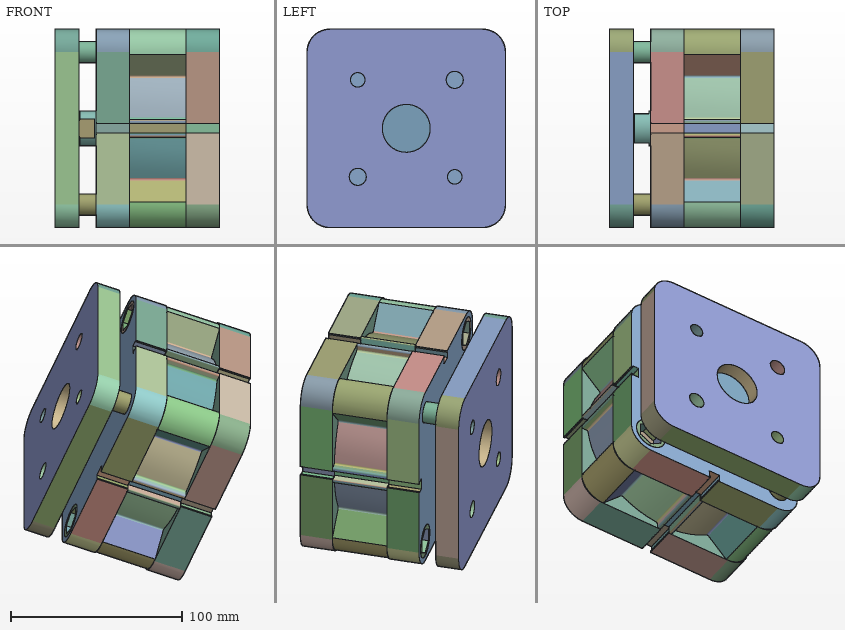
import cadquery as cq
import math

SIDE = 116.0
HALF_SIDE = SIDE / 2
PLATE_THICKNESS = 14.0
GAP = 10.0
CAP_THICKNESS = 19.5
STATOR_LENGTH = 33.1

PLATE_BACK_X = PLATE_THICKNESS
FRONT_CAP_X = PLATE_BACK_X + GAP
STATOR_X = FRONT_CAP_X + CAP_THICKNESS
REAR_CAP_X = STATOR_X + STATOR_LENGTH

CORNER_RADIUS = 13.5
CORNER_CENTER = HALF_SIDE - CORNER_RADIUS

CENTER_BORE_DIAMETER = 28.0
CENTER_BORE_DEPTH = 8.7
HOLE_OFFSET = 28.3
SMALL_HOLE_DIAMETER = 8.5
LARGE_HOLE_DIAMETER = 10.0
STANDOFF_DIAMETER = 12.5

GROOVE_WIDTH = 5.7
GROOVE_DEPTH = 5.0
CAP_GROOVE_INNER_WIDTH = 7.1
CAP_GROOVE_LIP = 1.0

SCREW_HEAD_DIAMETER = 20.0
SCREW_HEAD_RECESS = 0.1
SOCKET_ACROSS_FLATS = 14.0
SOCKET_CIRCUMRADIUS = SOCKET_ACROSS_FLATS / math.sqrt(3)
SOCKET_DEPTH = 8.0

STATOR_CORE_RADIUS = 54.0
LUG_RADIUS = 15.0
LUG_CENTER = HALF_SIDE - LUG_RADIUS
LUG_ROOT_FILLET = 1.2
RIB_WIDTH = 10.4
RIB_ROOT_FILLET = 1.0
RIB_OUTER_FILLET = 1.0
RIB_INNER_FILLET = 0.5

SHAFT_DIAMETER = 20.4
SHAFT_ACROSS_FLATS = 17.2
SHAFT_COLLAR = 1.0
SHAFT_CHAMFER = 0.6

RISING_DIAGONAL = [(1, 1), (-1, -1)]
FALLING_DIAGONAL = [(1, -1), (-1, 1)]


def section(x):
    """Sketch plane across the axis at x, local axes along +Y and +Z."""
    return cq.Workplane("YZ", origin=(x, 0, 0))


def diagonal_points(directions, offset):
    return [(y_sign * offset, z_sign * offset) for y_sign, z_sign in directions]


def rounded_square(x, thickness):
    return section(x).rect(SIDE, SIDE).extrude(thickness).edges("|X").fillet(CORNER_RADIUS)


def cut_grooves(body, x, length, width, lip):
    """Cut one groove per long side, from a depth of `lip` below the side to the groove floor."""
    groove = (
        section(x)
        .center(0, HALF_SIDE - (GROOVE_DEPTH + lip) / 2)
        .rect(width, GROOVE_DEPTH - lip)
        .extrude(length)
    )
    for turn in range(4):
        body = body.cut(groove.rotate((0, 0, 0), (1, 0, 0), 90 * turn))
    return body


def make_mounting_plate():
    plate = rounded_square(0, PLATE_THICKNESS)
    standoffs = (
        section(PLATE_BACK_X)
        .pushPoints(diagonal_points(RISING_DIAGONAL, CORNER_CENTER))
        .circle(STANDOFF_DIAMETER / 2)
        .extrude(GAP)
    )
    center_bore = section(0).circle(CENTER_BORE_DIAMETER / 2).extrude(CENTER_BORE_DEPTH)
    small_holes = (
        section(0)
        .pushPoints(diagonal_points(RISING_DIAGONAL, HOLE_OFFSET))
        .circle(SMALL_HOLE_DIAMETER / 2)
        .extrude(PLATE_THICKNESS)
    )
    large_holes = (
        section(0)
        .pushPoints(diagonal_points(FALLING_DIAGONAL, HOLE_OFFSET))
        .circle(LARGE_HOLE_DIAMETER / 2)
        .extrude(PLATE_THICKNESS)
    )
    return plate.union(standoffs).cut(center_bore).cut(small_holes).cut(large_holes)


def make_shaft():
    length = GAP
    shaft = section(PLATE_BACK_X).circle(SHAFT_DIAMETER / 2).extrude(length)
    shaft = shaft.faces("<X").chamfer(SHAFT_CHAMFER)
    flats = (
        section(PLATE_BACK_X)
        .rect(2 * SHAFT_DIAMETER, 2 * SHAFT_DIAMETER)
        .rect(SHAFT_ACROSS_FLATS, 2 * SHAFT_DIAMETER)
        .extrude(length - SHAFT_COLLAR)
    )
    return shaft.cut(flats)


def make_cap(x):
    cap = rounded_square(x, CAP_THICKNESS)
    cap = cut_grooves(cap, x, CAP_THICKNESS, GROOVE_WIDTH, 0)
    return cut_grooves(cap, x, CAP_THICKNESS, CAP_GROOVE_INNER_WIDTH, CAP_GROOVE_LIP)


def make_front_cap():
    cap = make_cap(FRONT_CAP_X)
    centers = diagonal_points(FALLING_DIAGONAL, CORNER_CENTER)
    heads = (
        section(FRONT_CAP_X)
        .pushPoints(centers)
        .circle(SCREW_HEAD_DIAMETER / 2)
        .extrude(SCREW_HEAD_RECESS)
    )
    hexagon = cq.Sketch().regularPolygon(SOCKET_CIRCUMRADIUS, 6)
    sockets = section(FRONT_CAP_X).pushPoints(centers).placeSketch(hexagon).extrude(SOCKET_DEPTH)
    return cap.cut(heads).cut(sockets)


def fillet_along_axis(body, y, z, radius):
    """Fillet the edge through (y, z) that runs along X, and its seven symmetric copies."""
    mid_x = STATOR_X + STATOR_LENGTH / 2
    for first, second in [(y, z), (z, y)]:
        for y_sign in (1, -1):
            for z_sign in (1, -1):
                point = (mid_x, y_sign * first, z_sign * second)
                body = body.edges(cq.NearestToPointSelector(point)).fillet(radius)
    return body


def make_stator():
    core = section(STATOR_X).circle(STATOR_CORE_RADIUS).extrude(STATOR_LENGTH)
    arc_middle = LUG_CENTER + LUG_RADIUS * math.sqrt(0.5)
    lug = (
        section(STATOR_X)
        .moveTo(0, 0)
        .lineTo(0, LUG_RADIUS)
        .lineTo(LUG_CENTER, HALF_SIDE)
        .threePointArc((arc_middle, arc_middle), (HALF_SIDE, LUG_CENTER))
        .lineTo(LUG_RADIUS, 0)
        .close()
        .extrude(STATOR_LENGTH)
    )
    rib = section(STATOR_X).center(0, HALF_SIDE / 2).rect(RIB_WIDTH, HALF_SIDE).extrude(STATOR_LENGTH)
    stator = core
    for turn in range(4):
        stator = stator.union(lug.rotate((0, 0, 0), (1, 0, 0), 90 * turn))
        stator = stator.union(rib.rotate((0, 0, 0), (1, 0, 0), 90 * turn))
    stator = cut_grooves(stator, STATOR_X, STATOR_LENGTH, GROOVE_WIDTH, 0)

    lug_root_y = (math.sqrt(2 * STATOR_CORE_RADIUS**2 - LUG_RADIUS**2) - LUG_RADIUS) / 2
    stator = fillet_along_axis(stator, lug_root_y, lug_root_y + LUG_RADIUS, LUG_ROOT_FILLET)

    rib_root_z = math.sqrt(STATOR_CORE_RADIUS**2 - (RIB_WIDTH / 2) ** 2)
    stator = fillet_along_axis(stator, RIB_WIDTH / 2, rib_root_z, RIB_ROOT_FILLET)
    stator = fillet_along_axis(stator, RIB_WIDTH / 2, HALF_SIDE, RIB_OUTER_FILLET)
    return fillet_along_axis(stator, GROOVE_WIDTH / 2, HALF_SIDE, RIB_INNER_FILLET)


mounting_plate = make_mounting_plate()
shaft = make_shaft()
front_cap = make_front_cap()
stator = make_stator()
rear_cap = make_cap(REAR_CAP_X)

result = cq.Compound.makeCompound(
    [mounting_plate.val(), shaft.val(), front_cap.val(), stator.val(), rear_cap.val()]
)